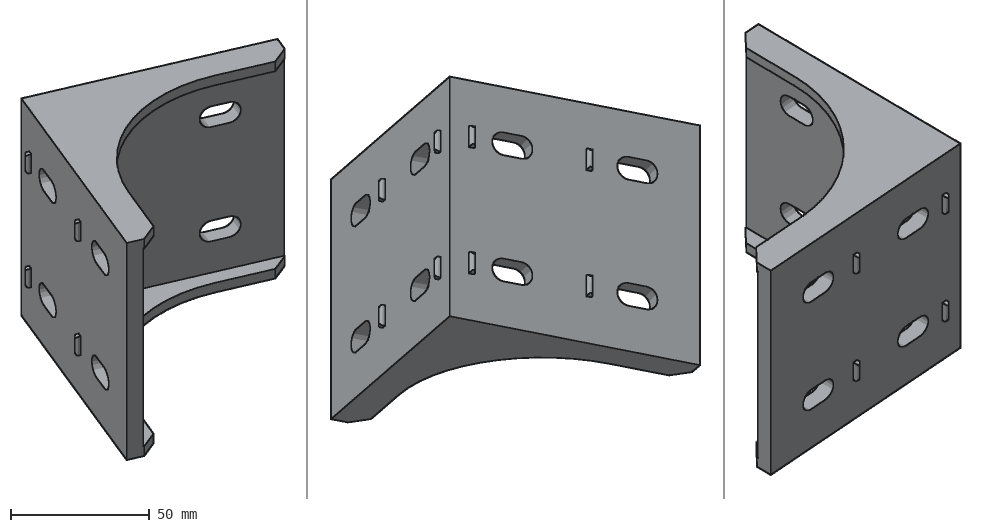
import cadquery as cq

overall_length = 102.0
tab_height = 1.9
leg_length = overall_length - tab_height
bracket_width = 95.0
cheek_band = 13.1
inner_radius = 57.1
wall_thickness = 6.5
cheek_thickness = 4.3
end_chamfer = 6.2

slot_length = 16.0
slot_width = 9.0
slot_pitch = 50.0
slot_positions = [(leg_length - slot_pitch) / 2, (leg_length + slot_pitch) / 2]
row_heights = [(bracket_width - slot_pitch) / 2, (bracket_width + slot_pitch) / 2]

tab_length = 8.2
tab_width = 2.0
tab_tip_radius = tab_width / 2
first_tab = 8.6
tab_pitch = 46.9
tab_positions = [first_tab, first_tab + tab_pitch]


def bracket_body():
    """Solid L-section with a large inner fillet and chamfered leg ends."""
    body = (
        cq.Workplane("XY")
        .moveTo(0, 0)
        .lineTo(leg_length, 0)
        .lineTo(leg_length, cheek_band - end_chamfer)
        .lineTo(leg_length - end_chamfer, cheek_band)
        .lineTo(cheek_band, cheek_band)
        .lineTo(cheek_band, leg_length - end_chamfer)
        .lineTo(cheek_band - end_chamfer, leg_length)
        .lineTo(0, leg_length)
        .close()
        .extrude(bracket_width)
    )
    inner_corner = cq.NearestToPointSelector((cheek_band, cheek_band, bracket_width / 2))
    return body.edges(inner_corner).fillet(inner_radius)


def inner_cavity():
    """Open space behind the two walls, between the lower and upper cheeks."""
    depth = leg_length - wall_thickness
    height = bracket_width - 2 * cheek_thickness
    cavity = cq.Workplane("XY").box(depth, depth, height, centered=False)
    return cavity.translate((wall_thickness, wall_thickness, cheek_thickness))


def grid(positions):
    """Pair every position along the wall with every row height."""
    return [(along, height) for along in positions for height in row_heights]


def wall_slots():
    """Slot cutters through the wall that lies along X."""
    return (
        cq.Workplane("XZ")
        .pushPoints(grid(slot_positions))
        .slot2D(slot_length, slot_width)
        .extrude(-wall_thickness)
    )


def locating_tab():
    """One tab on the -Y side of the origin, long in Z, with a fully rounded tip."""
    shoulder = tab_height - tab_tip_radius
    barrel = (
        cq.Workplane("XY")
        .moveTo(-tab_width / 2, 0)
        .lineTo(-tab_width / 2, -shoulder)
        .threePointArc((0, -tab_height), (tab_width / 2, -shoulder))
        .lineTo(tab_width / 2, 0)
        .close()
        .extrude(tab_length / 2, both=True)
    )
    rounded_ends = (
        cq.Workplane("XZ")
        .rect(tab_width, tab_length)
        .extrude(tab_height)
        .edges("<Y and |X")
        .fillet(tab_tip_radius)
    )
    return barrel.intersect(rounded_ends)


def wall_tabs():
    """All the tabs on the -Y face."""
    tabs = cq.Workplane("XY")
    for along, height in grid(tab_positions):
        tabs = tabs.union(locating_tab().translate((along, 0, height)))
    return tabs


def on_other_wall(shape):
    """Mirror a feature across the plane X = Y onto the wall along Y."""
    return shape.mirror("YZ").rotate((0, 0, 0), (0, 0, 1), -90)


slots = wall_slots()
tabs = wall_tabs()
result = (
    bracket_body()
    .cut(inner_cavity())
    .cut(slots)
    .cut(on_other_wall(slots))
    .union(tabs)
    .union(on_other_wall(tabs))
)